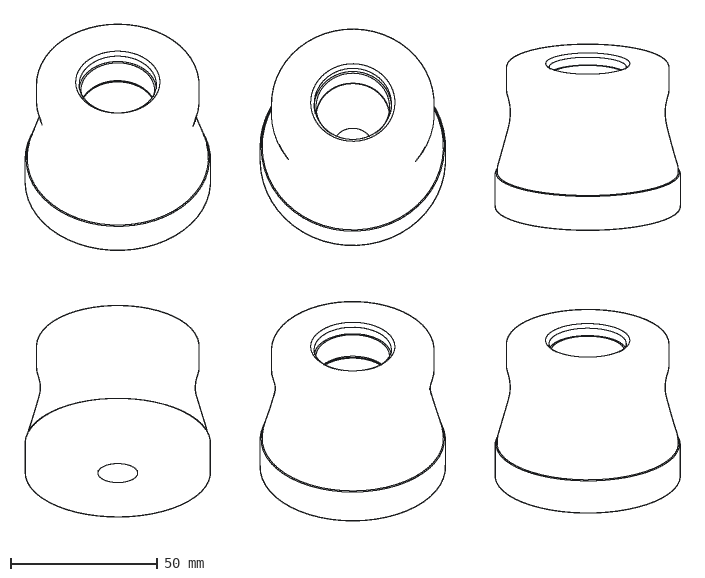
import cadquery as cq
import math

base_radius = 31.75
base_edge_round = 0.4
base_shoulder_height = 12.0
base_lip_rise = 0.25
seat_height = base_shoulder_height + base_lip_rise

overall_height = 50.8
rim_radius = 27.9
rim_round = 1.6
throat_radius = 26.55
throat_height = 33.35
neck_arc_radius = 21.6
flare_angle = math.radians(15)
rim_blend_radius = 1.8
skirt_radius = 31.0
skirt_blend_radius = 5.35

bore_radius = 13.2
bore_mouth_chamfer = 1.2
bore_floor_height = 19.05
bore_floor_round = 0.9
collar_radius = 12.6
collar_top_height = 46.85
collar_taper_top_height = 37.9
collar_taper_width = 0.4
collar_taper_height = 0.75
collar_land_height = 0.3

hole_radius = 6.8
hole_edge_round = 0.4


def revolve_outline(outline):
    """Turn a closed half-section, drawn in the XZ plane, into a solid of revolution about Z."""
    return outline.close().revolve(360, (0, 0, 0), (0, 1, 0))


def round_middle(center, radius, angle):
    """Point at the given angle on a circle in the half-section."""
    return (center[0] + radius * math.cos(angle), center[1] + radius * math.sin(angle))


def make_base():
    """Disc with rounded outer edges and a low sloped lip around the seat of the knob."""
    round_center_radius = base_radius - base_edge_round
    lower_center = (round_center_radius, base_edge_round)
    upper_center = (round_center_radius, base_shoulder_height - base_edge_round)
    outline = (
        cq.Workplane("XZ")
        .moveTo(hole_radius, 0)
        .lineTo(round_center_radius, 0)
        .threePointArc(
            round_middle(lower_center, base_edge_round, -math.pi / 4),
            (base_radius, base_edge_round),
        )
        .lineTo(base_radius, upper_center[1])
        .threePointArc(
            round_middle(upper_center, base_edge_round, math.pi / 4),
            (round_center_radius, base_shoulder_height),
        )
        .lineTo(skirt_radius, seat_height)
        .lineTo(hole_radius, seat_height)
    )
    return revolve_outline(outline)


def make_knob_blank():
    """Outer shape of the knob: the neck arc runs tangent into a cone at each end,
    and each cone is blended into the cylinder beyond it."""
    slope = math.tan(flare_angle)
    neck_half_height = neck_arc_radius * math.sin(flare_angle)
    neck_end_radius = throat_radius + neck_arc_radius * (1 - math.cos(flare_angle))
    neck_top = throat_height + neck_half_height
    neck_bottom = throat_height - neck_half_height

    def cone_to_cylinder(neck_end, direction, cylinder_radius, blend_radius):
        """Cone end, blend middle and cylinder start of a blend above (+1) or below (-1) the neck."""
        corner = neck_end + direction * (cylinder_radius - neck_end_radius) / slope
        tangent_length = blend_radius * math.tan(flare_angle / 2)
        cylinder_start = (cylinder_radius, corner + direction * tangent_length)
        cone_end = (
            cylinder_radius - tangent_length * math.sin(flare_angle),
            corner - direction * tangent_length * math.cos(flare_angle),
        )
        blend_center = (cylinder_radius - blend_radius, cylinder_start[1])
        middle = round_middle(blend_center, blend_radius, -direction * flare_angle / 2)
        return cone_end, middle, cylinder_start

    skirt_cone_end, skirt_middle, skirt_start = cone_to_cylinder(
        neck_bottom, -1, skirt_radius, skirt_blend_radius
    )
    rim_cone_end, rim_middle, rim_start = cone_to_cylinder(neck_top, 1, rim_radius, rim_blend_radius)
    rim_round_center = (rim_radius - rim_round, overall_height - rim_round)

    outline = (
        cq.Workplane("XZ")
        .moveTo(0, seat_height)
        .lineTo(skirt_radius, seat_height)
        .lineTo(*skirt_start)
        .threePointArc(skirt_middle, skirt_cone_end)
        .lineTo(neck_end_radius, neck_bottom)
        .threePointArc((throat_radius, throat_height), (neck_end_radius, neck_top))
        .lineTo(*rim_cone_end)
        .threePointArc(rim_middle, rim_start)
        .lineTo(rim_radius, rim_round_center[1])
        .threePointArc(
            round_middle(rim_round_center, rim_round, math.pi / 4),
            (rim_round_center[0], overall_height),
        )
        .lineTo(0, overall_height)
    )
    return revolve_outline(outline)


def make_bore():
    """Space inside the knob: chamfered mouth, collar tapered underneath,
    round-cornered floor and round-edged hole."""
    floor_round_center = (bore_radius - bore_floor_round, bore_floor_height + bore_floor_round)
    hole_round_center = (hole_radius + hole_edge_round, bore_floor_height - hole_edge_round)
    collar_land_radius = collar_radius + collar_taper_width
    collar_taper_bottom = collar_taper_top_height - collar_taper_height
    collar_land_bottom = collar_taper_bottom - collar_land_height
    outline = (
        cq.Workplane("XZ")
        .moveTo(0, seat_height)
        .lineTo(hole_radius, seat_height)
        .lineTo(hole_radius, hole_round_center[1])
        .threePointArc(
            round_middle(hole_round_center, hole_edge_round, 3 * math.pi / 4),
            (hole_round_center[0], bore_floor_height),
        )
        .lineTo(floor_round_center[0], bore_floor_height)
        .threePointArc(
            round_middle(floor_round_center, bore_floor_round, -math.pi / 4),
            (bore_radius, floor_round_center[1]),
        )
        .lineTo(bore_radius, collar_land_bottom)
        .lineTo(collar_land_radius, collar_land_bottom)
        .lineTo(collar_land_radius, collar_taper_bottom)
        .lineTo(collar_radius, collar_taper_top_height)
        .lineTo(collar_radius, collar_top_height)
        .lineTo(bore_radius, collar_top_height)
        .lineTo(bore_radius, overall_height - bore_mouth_chamfer)
        .lineTo(bore_radius + bore_mouth_chamfer, overall_height)
        .lineTo(0, overall_height)
    )
    return revolve_outline(outline)


base = make_base()
knob = make_knob_blank().cut(make_bore())

result = cq.Compound.makeCompound([base.val(), knob.val()])